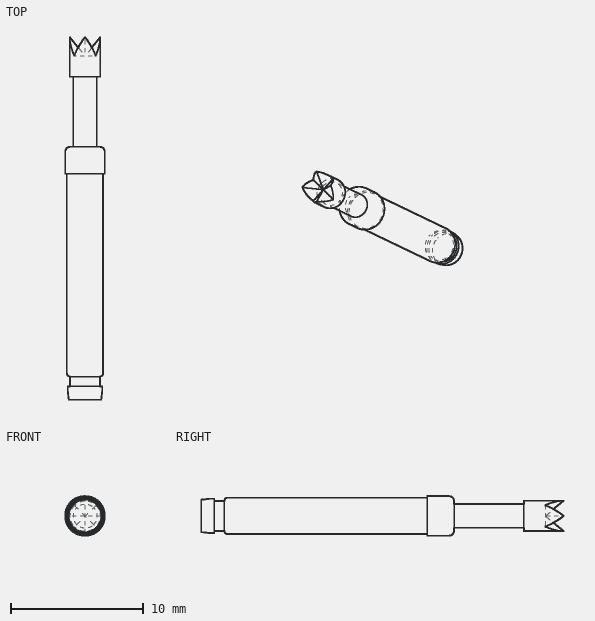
import cadquery as cq
import math


total_length = 27.3

head_radius = 1.15
head_length = 3.0
shaft_radius = 0.9
shaft_length = 5.25
groove_count = 2
groove_angle = 60.0

collar_radius = 1.5
collar_length = 2.05
collar_rounding = 0.4

barrel_radius = 1.375
barrel_length = 15.25

neck_radius = 1.14
neck_length = 0.75
barrel_rounding = barrel_radius - neck_radius
button_radius = 1.3
button_land = 0.4
button_end_radius = 1.23

collar_front = collar_length
head_rear = collar_front + shaft_length
tip = head_rear + head_length
tail_end = tip - total_length
barrel_rear = -barrel_length
button_front = barrel_rear - neck_length


def make_turned_body():
    """Revolve the half profile (radius, Y) of the whole probe about the Y axis."""
    profile = (
        cq.Workplane("XY")
        .moveTo(0, tail_end)
        .lineTo(button_end_radius, tail_end)
        .lineTo(button_radius, button_front - button_land)
        .lineTo(button_radius, button_front)
        .lineTo(neck_radius, button_front)
        .lineTo(neck_radius, barrel_rear)
        .radiusArc((barrel_radius, barrel_rear + barrel_rounding), -barrel_rounding)
        .lineTo(barrel_radius, 0)
        .lineTo(collar_radius, 0)
        .lineTo(collar_radius, collar_front - collar_rounding)
        .radiusArc((collar_radius - collar_rounding, collar_front), -collar_rounding)
        .lineTo(shaft_radius, collar_front)
        .lineTo(shaft_radius, head_rear)
        .lineTo(head_radius, head_rear)
        .lineTo(head_radius, tip)
        .lineTo(0, tip)
        .close()
    )
    return profile.revolve(360, (0, 0, 0), (0, 1, 0))


def make_crown_groove(turn):
    """V-groove across the head, centred on the Y axis and turned about it."""
    tip_offset = head_radius * math.sin(math.pi / (2 * groove_count))
    half_angle_tangent = math.tan(math.radians(groove_angle / 2))
    groove_bottom = tip - tip_offset / half_angle_tangent
    cutter_top = tip + head_length
    cutter_half_width = (cutter_top - groove_bottom) * half_angle_tangent
    groove = (
        cq.Workplane("XY")
        .moveTo(0, groove_bottom)
        .lineTo(cutter_half_width, cutter_top)
        .lineTo(-cutter_half_width, cutter_top)
        .close()
        .extrude(2 * head_radius, both=True)
    )
    return groove.rotate((0, 0, 0), (0, 1, 0), turn)


result = make_turned_body()
groove_spacing = 180 / groove_count
for index in range(groove_count):
    result = result.cut(make_crown_groove((index + 0.5) * groove_spacing))